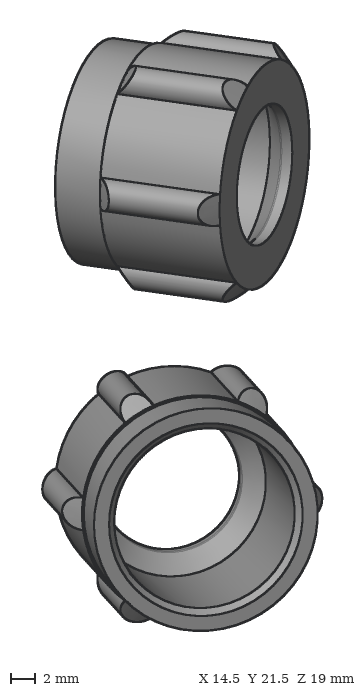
import cadquery as cq
import math

total_length = 14.5
collar_length = 4.0
body_length = total_length - collar_length

collar_diameter = 18.5
body_diameter = 18.8

mouth_diameter = 16.0
bore_diameter = 14.92
outlet_diameter = 11.6
outlet_length = 1.0
seat_angle = 45.0
seat_rounding_radius = 0.2

rib_count = 6
rib_radius = 1.35
rib_centre_radius = body_diameter / 2
rib_tip_radius = rib_centre_radius + rib_radius
rib_bevel = rib_radius


def make_shell():
    """Collar and body as plain coaxial cylinders."""
    collar = cq.Workplane("YZ").circle(collar_diameter / 2).extrude(collar_length)
    body = (
        cq.Workplane("YZ")
        .workplane(offset=collar_length)
        .circle(body_diameter / 2)
        .extrude(body_length)
    )
    return collar.union(body)


def make_rib(angle):
    """Round bar along the body, set at the given angle about X."""
    bar = (
        cq.Workplane("YZ")
        .workplane(offset=collar_length)
        .center(rib_centre_radius, 0)
        .circle(rib_radius)
        .extrude(body_length)
    )
    return bar.rotate((0, 0, 0), (1, 0, 0), angle)


def make_rib_envelope():
    """Revolved envelope whose 45 degree cones bevel both ends of every rib."""
    half_profile = [
        (collar_length, 0),
        (collar_length, rib_centre_radius),
        (collar_length + rib_bevel, rib_tip_radius),
        (total_length - rib_bevel, rib_tip_radius),
        (total_length, rib_centre_radius),
        (total_length, 0),
    ]
    return cq.Workplane("XY").polyline(half_profile).close().revolve(360, (0, 0, 0), (1, 0, 0))


def make_bore():
    """Revolved cavity: mouth chamfer, bore, conical seat rounded into the outlet."""
    mouth_depth = (mouth_diameter - bore_diameter) / 2
    bore_radius = bore_diameter / 2
    outlet_radius = outlet_diameter / 2
    slope = math.radians(seat_angle)

    seat_end = total_length - outlet_length
    seat_start = seat_end - (bore_radius - outlet_radius) / math.tan(slope)

    tangent_length = seat_rounding_radius * math.tan(slope / 2)
    rounding_start = (
        seat_end - tangent_length * math.cos(slope),
        outlet_radius + tangent_length * math.sin(slope),
    )
    rounding_end = (seat_end + tangent_length, outlet_radius)

    half_profile = (
        cq.Workplane("XY")
        .lineTo(0, mouth_diameter / 2)
        .lineTo(mouth_depth, bore_radius)
        .lineTo(seat_start, bore_radius)
        .lineTo(*rounding_start)
        .tangentArcPoint(rounding_end, relative=False)
        .lineTo(total_length, outlet_radius)
        .lineTo(total_length, 0)
        .close()
    )
    return half_profile.revolve(360, (0, 0, 0), (1, 0, 0))


result = make_shell()
rib_envelope = make_rib_envelope()
for rib_index in range(rib_count):
    rib = make_rib(rib_index * 360 / rib_count).intersect(rib_envelope)
    result = result.union(rib)
result = result.cut(make_bore())